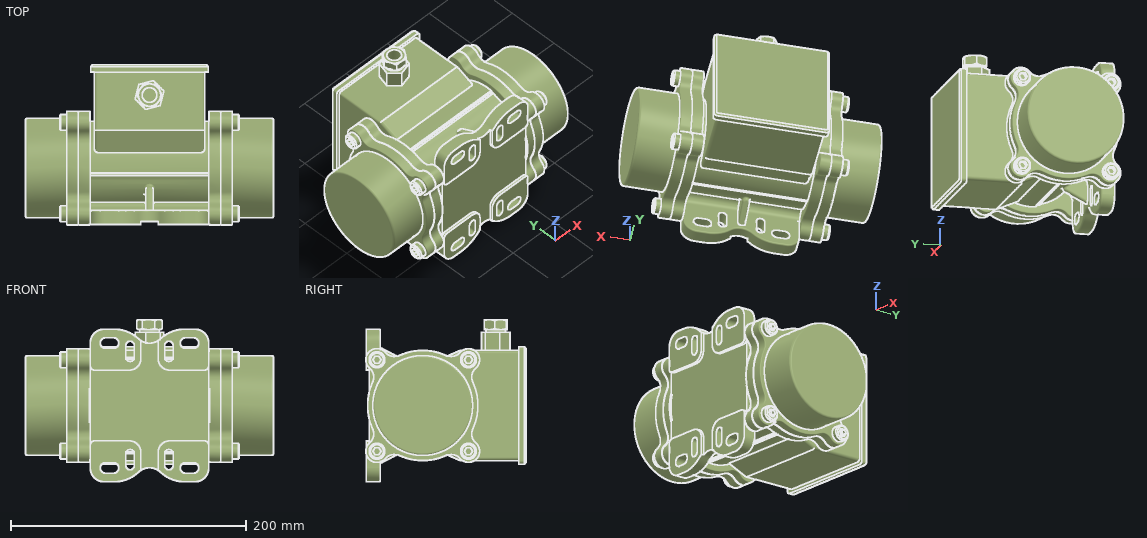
import cadquery as cq
import math

cover_radius = 42.5
cover_half_length = 105.5
cover_edge_round = 2.0

flange_radius = 47.0
flange_thickness = 10.0
flange_edge_round = 0.9
flange_neck_radius = 10.0
body_half_length = 50.5
flange_outer_face = body_half_length + 2 * flange_thickness

bolt_circle_radius = 55.0
bolt_offset = bolt_circle_radius * math.cos(math.radians(45))
boss_radius = 9.5
bolt_head_diameter = 13.5
bolt_head_height = 6.0
bolt_head_chamfer = 1.2
bolt_socket_across_flats = 6.0
bolt_socket_depth = 4.0

crown_radius = 41.0
crown_flat_y = 40.0
crown_edge_y = -4.0
barrel_radius = 39.0
ledge_start_y = -4.6
ledge_end_y = -6.6
ledge_height = 39.4
ledge_drop_y = -7.6
ledge_drop_height = 38.8
ledge_foot_y = -9.8

box_half_width = 47.0
box_half_height = 47.0
box_edge_round = 3.0
box_slope_start_y = 32.2
box_slope_end_y = 13.2
box_slope_end_height = 38.8
lid_half_size = 50.0
lid_back_y = 88.0
lid_thickness = 6.5
lid_corner_radius = 3.0
lid_edge_chamfer = 1.7

gland_y = 62.1
gland_top = 73.0
gland_body_across_flats = 22.0
gland_body_angle = 15.0
gland_body_top = 62.4
gland_neck_diameter = 17.0
gland_nut_across_flats = 19.0
gland_nut_angle = -5.0
gland_nut_height = 8.5
gland_nut_chamfer_drop = 0.9
gland_hole_diameter = 12.5

plate_front_y = -45.5
plate_back_y = -36.0
plate_half_height = 65.0
plate_corner_radius = 12.0
plate_edge_round = 1.5
lobe_radius = 30.0
lobe_center_x = 30.0
waist_half_height = 53.0

pad_height = 2.5
pad_inner_x = 7.3
pad_inner_z = 30.0
pad_inner_radius = 10.0
pad_outer_radius = 4.0
long_slot_center = (34.0, 53.0)
long_slot_length = 15.5
long_slot_width = 9.0
upright_slot_center = (16.5, 46.0)
upright_slot_length = 17.2
upright_slot_width = 7.0

saddle_start_y = -28.9
saddle_half_height = math.sqrt(barrel_radius**2 - saddle_start_y**2)
rib_half_width = 3.2
rib_end_y = -15.3
rib_end_height = 38.6
rib_plate_height = 49.2
rib_top_round = 2.2
rib_foot_round = 1.6

signs = (-1, 1)
corner_signs = [(a, b) for a in signs for b in signs]


def hexagon_diameter(across_flats):
    """Corner-to-corner size of a hexagon."""
    return across_flats / math.cos(math.radians(30))


def make_cover():
    """Round cover at the +X end, closing the barrel."""
    cover = (
        cq.Workplane("YZ", origin=(body_half_length, 0, 0))
        .circle(cover_radius)
        .extrude(cover_half_length - body_half_length)
    )
    return cover.faces(">X").edges().fillet(cover_edge_round)


def flange_corner():
    """Points of the outline round the +Y +Z boss, from the Y side to the Z side."""
    neck_center_distance = flange_radius + flange_neck_radius
    reach = boss_radius + flange_neck_radius
    cosine = (neck_center_distance**2 + bolt_circle_radius**2 - reach**2) / (
        2 * neck_center_distance * bolt_circle_radius
    )
    angle = math.radians(45) - math.acos(cosine)
    center = (neck_center_distance * math.cos(angle), neck_center_distance * math.sin(angle))
    on_rim = (flange_radius * math.cos(angle), flange_radius * math.sin(angle))
    share = boss_radius / reach
    on_boss = tuple(bolt_offset + share * (c - bolt_offset) for c in center)
    chord_middle = tuple((a + b) / 2 - c for a, b, c in zip(on_rim, on_boss, center))
    stretch = flange_neck_radius / math.hypot(*chord_middle)
    on_neck = tuple(c + stretch * m for c, m in zip(center, chord_middle))
    boss_tip = (bolt_circle_radius + boss_radius) * math.cos(math.radians(45))
    first_half = [on_rim, on_neck, on_boss]
    second_half = [(z, y) for y, z in reversed(first_half)]
    return first_half + [(boss_tip, boss_tip)] + second_half


def quarter_turns(point, turns):
    y, z = point
    for _ in range(turns):
        y, z = -z, y
    return (y, z)


def make_flange(start_x):
    corner = flange_corner()
    outline = cq.Workplane("YZ", origin=(start_x, 0, 0)).moveTo(*corner[0])
    for turns in range(4):
        points = [quarter_turns(p, turns) for p in corner]
        for middle, end in zip(points[1::2], points[2::2]):
            outline = outline.threePointArc(middle, end)
        rim_middle = quarter_turns((0, flange_radius), turns)
        next_start = quarter_turns(corner[0], turns + 1)
        outline = outline.threePointArc(rim_middle, next_start)
    flange = outline.close().extrude(flange_thickness)
    return flange.faces("<X or >X").edges().fillet(flange_edge_round)


def make_bolt_heads():
    """Socket heads at the +X end."""
    places = [(a * bolt_offset, b * bolt_offset) for a, b in corner_signs]
    heads = (
        cq.Workplane("YZ", origin=(flange_outer_face, 0, 0))
        .pushPoints(places)
        .circle(bolt_head_diameter / 2)
        .extrude(bolt_head_height)
        .faces(">X")
        .edges()
        .chamfer(bolt_head_chamfer)
    )
    sockets = (
        cq.Workplane("YZ", origin=(flange_outer_face + bolt_head_height, 0, 0))
        .pushPoints(places)
        .polygon(6, hexagon_diameter(bolt_socket_across_flats))
        .extrude(-bolt_socket_depth)
    )
    return heads.cut(sockets)


def make_barrel():
    """Body barrel: large crown on the box side, stepping down to a smaller radius on the plate side."""
    crown_edge_height = math.sqrt(crown_radius**2 - crown_edge_y**2)
    crown_flat_height = math.sqrt(crown_radius**2 - crown_flat_y**2)
    foot_height = math.sqrt(barrel_radius**2 - ledge_foot_y**2)
    step = [
        (crown_edge_y, crown_edge_height),
        (ledge_start_y, ledge_height),
        (ledge_end_y, ledge_height),
        (ledge_drop_y, ledge_drop_height),
        (ledge_foot_y, foot_height),
    ]
    lower_step = [(y, -z) for y, z in reversed(step)]
    diagonal = crown_radius * math.sqrt(0.5)
    profile = (
        cq.Workplane("YZ")
        .moveTo(crown_flat_y, crown_flat_height)
        .threePointArc((diagonal, diagonal), step[0])
        .polyline(step[1:], includeCurrent=True)
        .threePointArc((-barrel_radius, 0), lower_step[0])
        .polyline(lower_step[1:], includeCurrent=True)
        .threePointArc((diagonal, -diagonal), (crown_flat_y, -crown_flat_height))
        .close()
    )
    return profile.extrude(body_half_length, both=True)


def make_box():
    lid_front_y = lid_back_y - lid_thickness
    upper = [
        (lid_front_y, box_half_height),
        (box_slope_start_y, box_half_height),
        (box_slope_end_y, box_slope_end_height),
    ]
    slope = (box_half_height - box_slope_end_height) / (box_slope_start_y - box_slope_end_y)
    upper.append((0, box_slope_end_height - slope * box_slope_end_y))
    lower = [(y, -z) for y, z in reversed(upper)]
    box = cq.Workplane("YZ").polyline(upper + lower).close().extrude(box_half_width, both=True)
    box = box.faces("<X or >X").edges("not |Z").fillet(box_edge_round)
    lid = (
        cq.Workplane("XZ", origin=(0, lid_back_y, 0))
        .rect(2 * lid_half_size, 2 * lid_half_size)
        .extrude(lid_thickness)
        .edges("|Y")
        .fillet(lid_corner_radius)
        .faces(">Y")
        .edges()
        .chamfer(lid_edge_chamfer)
    )
    return box.union(lid)


def hexagon_prism(across_flats, angle, bottom, top):
    prism = cq.Workplane("XY").polygon(6, hexagon_diameter(across_flats)).extrude(top - bottom)
    return prism.rotate((0, 0, 0), (0, 0, 1), angle).translate((0, gland_y, bottom))


def make_gland():
    body = hexagon_prism(gland_body_across_flats, gland_body_angle, box_half_height, gland_body_top)
    nut_bottom = gland_top - gland_nut_height
    neck = (
        cq.Workplane("XY", origin=(0, gland_y, box_half_height))
        .circle(gland_neck_diameter / 2)
        .extrude(gland_top - box_half_height)
    )
    nut = hexagon_prism(gland_nut_across_flats, gland_nut_angle, nut_bottom, gland_top)
    corner_radius = hexagon_diameter(gland_nut_across_flats) / 2
    nut_envelope = (
        cq.Workplane("XY", origin=(0, gland_y, nut_bottom))
        .circle(corner_radius)
        .extrude(gland_nut_height)
        .edges()
        .chamfer(gland_nut_chamfer_drop, corner_radius - gland_nut_across_flats / 2)
    )
    return body.union(neck).union(nut.intersect(nut_envelope))


def make_gland_hole():
    return (
        cq.Workplane("XY", origin=(0, gland_y, box_half_height))
        .circle(gland_hole_diameter / 2)
        .extrude(gland_top - box_half_height)
    )


def make_plate_blank():
    """Butterfly-shaped plate: lobes at the corners, a waist at the middle of the top and bottom edges."""
    lobe_center_z = plate_half_height - lobe_radius
    drop = waist_half_height - lobe_center_z
    waist_radius = (lobe_center_x**2 + drop**2 - lobe_radius**2) / (2 * (lobe_radius - drop))
    waist_center_z = waist_half_height + waist_radius
    angle = math.atan2(waist_center_z - lobe_center_z, lobe_center_x)
    tangent_x = lobe_center_x - lobe_radius * math.cos(angle)
    tangent_z = lobe_center_z + lobe_radius * math.sin(angle)
    middle_angle = (angle + math.pi / 2) / 2
    lobe_middle_x = lobe_center_x - lobe_radius * math.cos(middle_angle)
    lobe_middle_z = lobe_center_z + lobe_radius * math.sin(middle_angle)
    half = (
        cq.Workplane("XZ", origin=(0, plate_back_y, 0))
        .moveTo(-body_half_length, 0)
        .lineTo(-body_half_length, plate_half_height)
        .lineTo(-lobe_center_x, plate_half_height)
        .threePointArc((-lobe_middle_x, lobe_middle_z), (-tangent_x, tangent_z))
        .threePointArc((0, waist_half_height), (tangent_x, tangent_z))
        .threePointArc((lobe_middle_x, lobe_middle_z), (lobe_center_x, plate_half_height))
        .lineTo(body_half_length, plate_half_height)
        .lineTo(body_half_length, 0)
        .close()
        .extrude(plate_back_y - plate_front_y + pad_height)
    )
    outer = half.edges("|Y and >Z").edges("<X or >X").fillet(plate_corner_radius)
    return outer.union(outer.mirror("XY")).clean()


def make_pad_area(side_x, side_z):
    """Rounded region, reaching past the plate corner, inside which the pad is left standing."""
    width = body_half_length - pad_inner_x
    height = plate_half_height - pad_inner_z
    area = (
        cq.Workplane("XZ", origin=(pad_inner_x, plate_front_y, pad_inner_z))
        .rect(width, height, centered=False)
        .extrude(pad_height)
    )
    area = area.edges("|Y and <X and <Z").fillet(pad_inner_radius)
    area = area.edges("|Y and >X and <Z").fillet(pad_outer_radius)
    if side_x < 0:
        area = area.mirror("YZ")
    if side_z < 0:
        area = area.mirror("XY")
    return area


def make_slots(side_x, side_z):
    depth = plate_back_y - plate_front_y + pad_height
    long_x, long_z = long_slot_center
    upright_x, upright_z = upright_slot_center
    long_slot = cq.Workplane("XZ").slot2D(long_slot_length, long_slot_width).extrude(depth)
    upright_slot = cq.Workplane("XZ").slot2D(upright_slot_length, upright_slot_width, 90).extrude(depth)
    long_slot = long_slot.translate((side_x * long_x, plate_back_y, side_z * long_z))
    upright_slot = upright_slot.translate((side_x * upright_x, plate_back_y, side_z * upright_z))
    return long_slot.union(upright_slot)


def make_plate():
    blank = make_plate_blank()
    relief = (
        cq.Workplane("XZ", origin=(0, plate_front_y, 0))
        .rect(2 * body_half_length, 2 * plate_half_height)
        .extrude(pad_height)
    )
    for side_x, side_z in corner_signs:
        relief = relief.cut(make_pad_area(side_x, side_z))
    rounded = blank.faces(">Y").edges("not |Z").fillet(plate_edge_round)
    plate = rounded.cut(relief)
    for side_x, side_z in corner_signs:
        plate = plate.cut(make_slots(side_x, side_z))
    return plate


def make_saddle():
    """Block from the barrel to the plate, with a concave round running out onto the back of the plate."""
    radius = saddle_start_y - plate_back_y
    foot_height = saddle_half_height + radius
    inset = radius * (1 - math.sqrt(0.5))
    profile = (
        cq.Workplane("YZ")
        .moveTo(0, saddle_half_height)
        .lineTo(saddle_start_y, saddle_half_height)
        .threePointArc((plate_back_y + inset, saddle_half_height + inset), (plate_back_y, foot_height))
        .lineTo(plate_front_y, foot_height)
        .lineTo(plate_front_y, -foot_height)
        .lineTo(plate_back_y, -foot_height)
        .threePointArc(
            (plate_back_y + inset, -saddle_half_height - inset), (saddle_start_y, -saddle_half_height)
        )
        .lineTo(0, -saddle_half_height)
        .close()
    )
    return profile.extrude(body_half_length, both=True)


def make_rib():
    """Round-ended rib with a sloping crest, bracing the top of the plate against the barrel."""
    slope = (rib_plate_height - rib_end_height) / (rib_end_y - plate_back_y)
    buried_y = plate_back_y - plate_edge_round
    buried_height = rib_plate_height + slope * plate_edge_round
    profile = (
        cq.Workplane("YZ")
        .moveTo(rib_end_y, 0)
        .lineTo(rib_end_y, rib_end_height)
        .lineTo(buried_y, buried_height)
        .lineTo(buried_y, 0)
        .close()
        .extrude(rib_half_width, both=True)
    )
    end_center_y = rib_end_y - rib_half_width
    footprint = (
        cq.Workplane("XY")
        .moveTo(-rib_half_width, buried_y)
        .lineTo(-rib_half_width, end_center_y)
        .threePointArc((0, rib_end_y), (rib_half_width, end_center_y))
        .lineTo(rib_half_width, buried_y)
        .close()
        .extrude(buried_height)
    )
    rib = profile.intersect(footprint)
    return rib.faces("not(|X or |Y or <Z)").faces("%PLANE").edges("not |X").fillet(rib_top_round)


def round_rib_foot(body):
    """Concave rounds where the ribs stand on the barrel."""
    margin = 1.0
    zone_height = barrel_radius + margin
    foot_zone = cq.selectors.BoxSelector(
        (-rib_half_width - margin, saddle_start_y, -zone_height),
        (rib_half_width + margin, rib_end_y + margin, zone_height),
    )
    return body.edges(foot_zone).edges("not |X").fillet(rib_foot_round)


rib = make_rib()
barrel = round_rib_foot(make_barrel().union(rib).union(rib.mirror("XY")))
body = barrel.union(make_saddle()).union(make_plate())

end = make_cover().union(make_bolt_heads())
for flange_start in (body_half_length, body_half_length + flange_thickness):
    end = end.union(make_flange(flange_start))

result = body.union(end).union(end.mirror("YZ")).union(make_box()).union(make_gland()).cut(make_gland_hole())